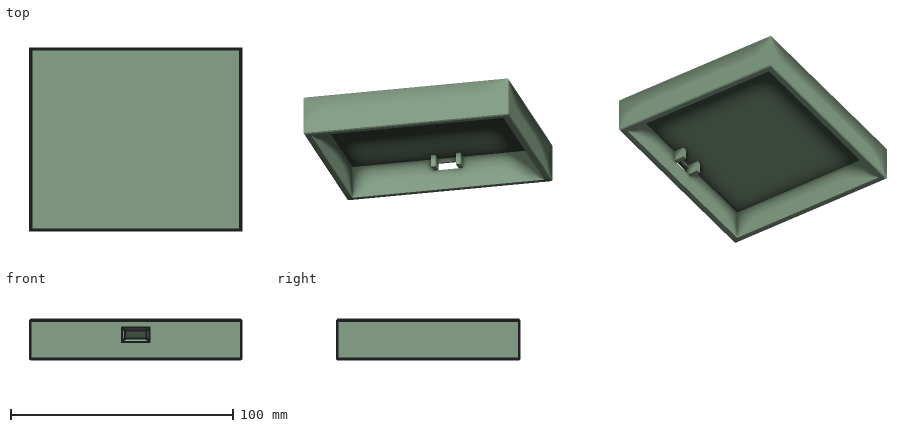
import cadquery as cq

length = 95.0
width = 82.0
height = 17.9
edge_chamfer = 0.5

wall = 3.0
ceiling_z = height - wall

port_length = 9.5
port_height = 3.5
port_flare = 1.5
port_flare_depth = 2.0
port_center_z = 11.2

rib_thickness = 2.0
rib_depth = 5.0

front_y = -width / 2
inner_front_y = front_y + wall
port_floor_z = port_center_z - port_height / 2


def make_shell():
    """Hollow box, open underneath, with its outer top and bottom edges chamfered."""
    block = cq.Workplane("XY").box(length, width, height, centered=(True, True, False))
    block = block.faces("<Z or >Z").edges().chamfer(edge_chamfer)
    cavity = cq.Workplane("XY").box(
        length - 2 * wall, width - 2 * wall, ceiling_z, centered=(True, True, False)
    )
    return block.cut(cavity)


def make_port():
    """Cutter for the port: a straight rectangular throat that flares towards the outside."""
    front_plane = cq.Plane(origin=(0, front_y, port_center_z), xDir=(1, 0, 0), normal=(0, -1, 0))
    mouth = cq.Workplane(front_plane).rect(port_length + 2 * port_flare, port_height + 2 * port_flare)
    flare = mouth.workplane(offset=-port_flare_depth).rect(port_length, port_height).loft(ruled=True)
    throat = cq.Workplane(front_plane).rect(port_length, port_height).extrude(-wall)
    return flare.union(throat)


def make_guide_rib(side):
    """Rib beside the port, from the ceiling down to the port floor; side is -1 or +1 along X."""
    center_x = side * (port_length + rib_thickness) / 2
    rib = cq.Workplane("XY").box(
        rib_thickness, rib_depth, ceiling_z - port_floor_z, centered=(True, False, False)
    )
    return rib.translate((center_x, inner_front_y, port_floor_z))


result = make_shell().cut(make_port())
for side in (-1, 1):
    result = result.union(make_guide_rib(side))